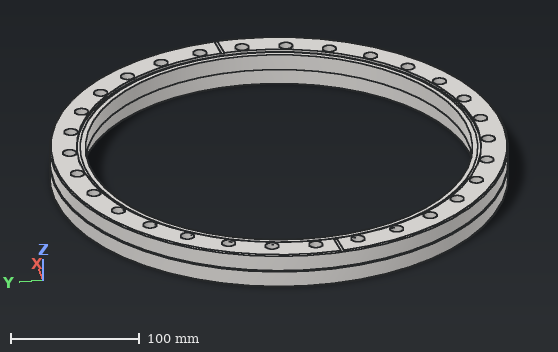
import cadquery as cq

outer_diameter = 355.6
bore_diameter = 300.0
thickness = 28.5
edge_chamfer = 1.0

socket_diameter = 306.5
socket_depth = thickness / 2

recess_diameter = 313.5
recess_depth = 2.2
shelf_diameter = 308.4
shelf_depth = 1.2

rim_groove_width = 1.0
rim_groove_depth = 0.3

bolt_count = 30
bolt_circle_diameter = 325.4
bolt_hole_diameter = 10.5

half_bolt_pitch = 180 / bolt_count
leak_groove_angles = (half_bolt_pitch, half_bolt_pitch + 180)
leak_groove_width = 2.5
leak_groove_depth = 0.8

outer_radius = outer_diameter / 2
bore_radius = bore_diameter / 2
socket_radius = socket_diameter / 2
recess_radius = recess_diameter / 2
shelf_radius = shelf_diameter / 2


def ring_body():
    """Revolve the ring section, including the chamfers, rim groove, recess and socket."""
    groove_bottom = (thickness - rim_groove_width) / 2
    groove_top = groove_bottom + rim_groove_width
    groove_floor_radius = outer_radius - rim_groove_depth
    section = [
        (socket_radius, 0),
        (outer_radius - edge_chamfer, 0),
        (outer_radius, edge_chamfer),
        (outer_radius, groove_bottom),
        (groove_floor_radius, groove_bottom),
        (groove_floor_radius, groove_top),
        (outer_radius, groove_top),
        (outer_radius, thickness - edge_chamfer),
        (outer_radius - edge_chamfer, thickness),
        (recess_radius, thickness),
        (recess_radius, thickness - recess_depth),
        (shelf_radius, thickness - shelf_depth),
        (bore_radius, thickness - shelf_depth),
        (bore_radius, socket_depth),
        (socket_radius, socket_depth),
    ]
    return cq.Workplane("XZ").polyline(section).close().revolve(360, (0, 0, 0), (0, 1, 0))


def bolt_holes():
    """Cylinders on the bolt circle, running through the full thickness."""
    return (
        cq.Workplane("XY")
        .polarArray(bolt_circle_diameter / 2, 0, 360, bolt_count)
        .circle(bolt_hole_diameter / 2)
        .extrude(thickness)
    )


def leak_groove(angle):
    """Cylinder lying along a radius that cuts a channel from the recess out to the rim chamfer."""
    half_width = leak_groove_width / 2
    cutter_radius = (half_width**2 + leak_groove_depth**2) / (2 * leak_groove_depth)
    axis_height = thickness - leak_groove_depth + cutter_radius
    return (
        cq.Workplane("YZ", origin=(shelf_radius, 0, axis_height))
        .circle(cutter_radius)
        .extrude(outer_radius - shelf_radius)
        .rotate((0, 0, 0), (0, 0, 1), angle)
    )


result = ring_body().cut(bolt_holes())
for groove_angle in leak_groove_angles:
    result = result.cut(leak_groove(groove_angle))